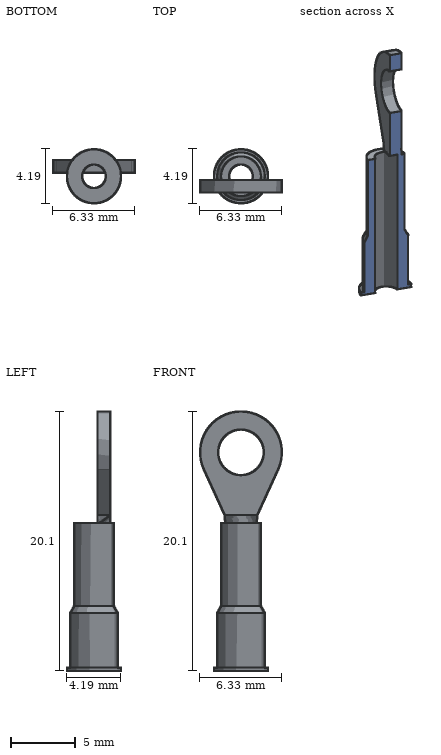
import cadquery as cq
import math

flange_radius = 2.095
flange_height = 0.28
grip_radius = 1.84
grip_top = 4.50
sleeve_radius = 1.535
cone_top = 5.03
sleeve_top = 11.45
barrel_radius = 1.27
bore_radius = 0.90

total_height = 20.05
eye_diameter = 6.33
eye_radius = eye_diameter / 2
stud_hole_radius = 1.75
tongue_thickness = 1.0
tongue_front_y = -barrel_radius
tongue_back_y = tongue_front_y + tongue_thickness
tongue_bottom = 12.05
tongue_root_half_width = barrel_radius
neck_side_y = -0.45
eye_center_z = total_height - eye_radius


def make_sleeve():
    """Stepped sleeve with a bottom flange and a cone between its diameters."""
    profile = [
        (0, 0),
        (flange_radius, 0),
        (flange_radius, flange_height),
        (grip_radius, flange_height),
        (grip_radius, grip_top),
        (sleeve_radius, cone_top),
        (sleeve_radius, sleeve_top),
        (0, sleeve_top),
    ]
    return cq.Workplane("XZ").polyline(profile).close().revolve(360, (0, 0), (0, 1))


def make_tongue():
    """Flat eye whose sides run tangentially down to the narrow root."""
    root_drop = eye_center_z - tongue_bottom
    root_distance = math.hypot(tongue_root_half_width, root_drop)
    root_angle = math.atan2(-root_drop, tongue_root_half_width)
    tangent_angle = root_angle + math.acos(eye_radius / root_distance)
    tangent_x = eye_radius * math.cos(tangent_angle)
    tangent_z = eye_center_z + eye_radius * math.sin(tangent_angle)

    plane = cq.Workplane("XZ", origin=(0, tongue_back_y, 0))
    plate = (
        plane.moveTo(-tongue_root_half_width, tongue_bottom)
        .lineTo(tongue_root_half_width, tongue_bottom)
        .lineTo(tangent_x, tangent_z)
        .threePointArc((0, total_height), (-tangent_x, tangent_z))
        .close()
        .extrude(tongue_thickness)
    )
    stud_hole = plane.center(0, eye_center_z).circle(stud_hole_radius).extrude(tongue_thickness)
    return plate.cut(stud_hole)


def barrel_half_width(y):
    """Half-width of the barrel circle at the given Y."""
    return math.sqrt(barrel_radius**2 - y**2)


def make_neck():
    """Ruled transition from a segment of the barrel circle to the flat tongue root."""
    chord_half = barrel_half_width(tongue_back_y)
    side_half = barrel_half_width(neck_side_y)
    side_middle_y = (tongue_back_y + neck_side_y) / 2
    side_middle_half = barrel_half_width(side_middle_y)
    root = tongue_root_half_width
    return (
        cq.Workplane("XY", origin=(0, 0, sleeve_top))
        .moveTo(-chord_half, tongue_back_y)
        .threePointArc((-side_middle_half, side_middle_y), (-side_half, neck_side_y))
        .threePointArc((0, -barrel_radius), (side_half, neck_side_y))
        .threePointArc((side_middle_half, side_middle_y), (chord_half, tongue_back_y))
        .close()
        .workplane(offset=tongue_bottom - sleeve_top)
        .moveTo(-root, tongue_back_y)
        .lineTo(-root, tongue_front_y)
        .lineTo(root, tongue_front_y)
        .lineTo(root, tongue_back_y)
        .close()
        .loft(ruled=True, combine=True)
    )


bore = cq.Workplane("XY").circle(bore_radius).extrude(sleeve_top)
crimp_body = make_sleeve().cut(bore)
result = crimp_body.union(make_neck()).union(make_tongue())